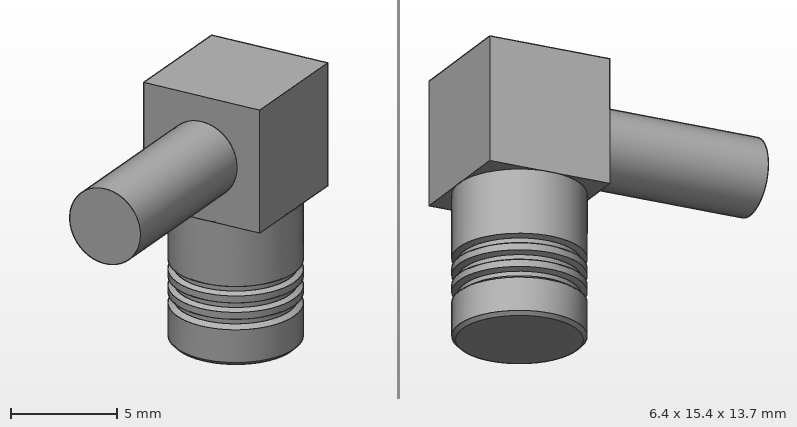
import cadquery as cq

overall_length = 15.38
overall_height = 13.73

sleeve_diameter = 6.4
sleeve_height = 7.38
end_chamfer = 0.18

groove_count = 3
groove_pitch = 0.85
groove_depth = 0.28
groove_root_width = 0.23
groove_flank = 0.13
lowest_flank = 0.18
lowest_root_z = 2.06

block_side = 6.35

cable_diameter = 3.88
cable_axis_z = 10.49

sleeve_radius = sleeve_diameter / 2
root_radius = sleeve_radius - groove_depth
cable_end_y = sleeve_radius - overall_length


def make_groove(root_z, lower_flank):
    """Ring with a flat root and sloping flanks, to be cut from the sleeve."""
    root_top_z = root_z + groove_root_width
    overrun = 1.5
    outer_radius = root_radius + groove_depth * overrun
    profile = [
        (root_radius, root_z),
        (outer_radius, root_z - lower_flank * overrun),
        (outer_radius, root_top_z + groove_flank * overrun),
        (root_radius, root_top_z),
    ]
    return cq.Workplane("XZ").polyline(profile).close().revolve(360, (0, 0, 0), (0, 1, 0))


def make_sleeve():
    """Round sleeve with a chamfered lower end and evenly spaced grooves."""
    sleeve = cq.Workplane("XY").circle(sleeve_radius).extrude(sleeve_height)
    sleeve = sleeve.faces("<Z").chamfer(end_chamfer)
    for index in range(groove_count):
        lower_flank = lowest_flank if index == 0 else groove_flank
        sleeve = sleeve.cut(make_groove(lowest_root_z + index * groove_pitch, lower_flank))
    return sleeve


def make_block():
    """Square block from the top of the sleeve to the top of the part."""
    return (
        cq.Workplane("XY", origin=(0, 0, sleeve_height))
        .rect(block_side, block_side)
        .extrude(overall_height - sleeve_height)
    )


def make_cable():
    """Plain round cable from the middle of the block to the -Y end."""
    return (
        cq.Workplane("XZ", origin=(0, 0, cable_axis_z))
        .circle(cable_diameter / 2)
        .extrude(-cable_end_y)
    )


result = make_sleeve().union(make_block()).union(make_cable())